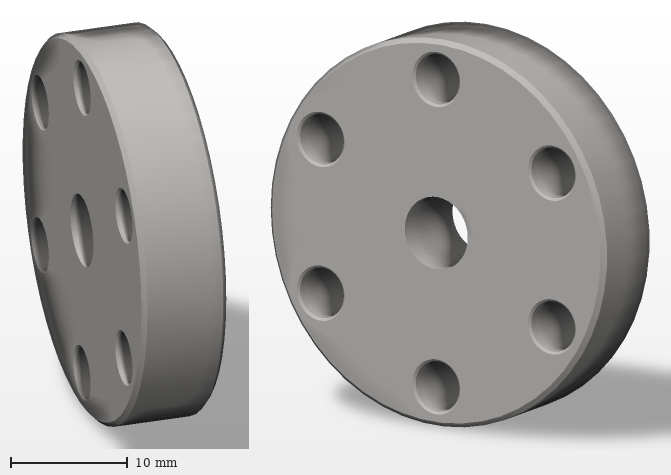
import cadquery as cq

disc_diameter = 34.0
disc_thickness = 7.6
rim_chamfer = 0.4

bore_diameter = 6.35
bolt_hole_count = 6
bolt_circle_radius = 13.5
bolt_hole_diameter = 4.42
bolt_hole_chamfer = 0.2


def make_cylinder(diameter):
    """Cylinder along Y, as long as the disc is thick and centred on the origin."""
    return cq.Workplane("XZ", origin=(0, disc_thickness / 2, 0)).circle(diameter / 2).extrude(disc_thickness)


def make_disc():
    """Round disc centred on the origin, chamfered on both rims."""
    return make_cylinder(disc_diameter).edges("%CIRCLE").chamfer(rim_chamfer)


def make_bolt_hole():
    """Cutter for the top bolt hole, flaring to a chamfer at both faces."""
    hole_radius = bolt_hole_diameter / 2
    mouth_radius = hole_radius + bolt_hole_chamfer
    face = disc_thickness / 2
    chamfer_start = face - bolt_hole_chamfer
    half_profile = [
        (0, -face),
        (mouth_radius, -face),
        (hole_radius, -chamfer_start),
        (hole_radius, chamfer_start),
        (mouth_radius, face),
        (0, face),
    ]
    cutter = cq.Workplane("XY").polyline(half_profile).close().revolve(360, (0, 0), (0, 1))
    return cutter.translate((0, 0, bolt_circle_radius))


result = make_disc().cut(make_cylinder(bore_diameter))
bolt_hole = make_bolt_hole()
for index in range(bolt_hole_count):
    angle = index * 360 / bolt_hole_count
    result = result.cut(bolt_hole.rotate((0, 0, 0), (0, 1, 0), angle))